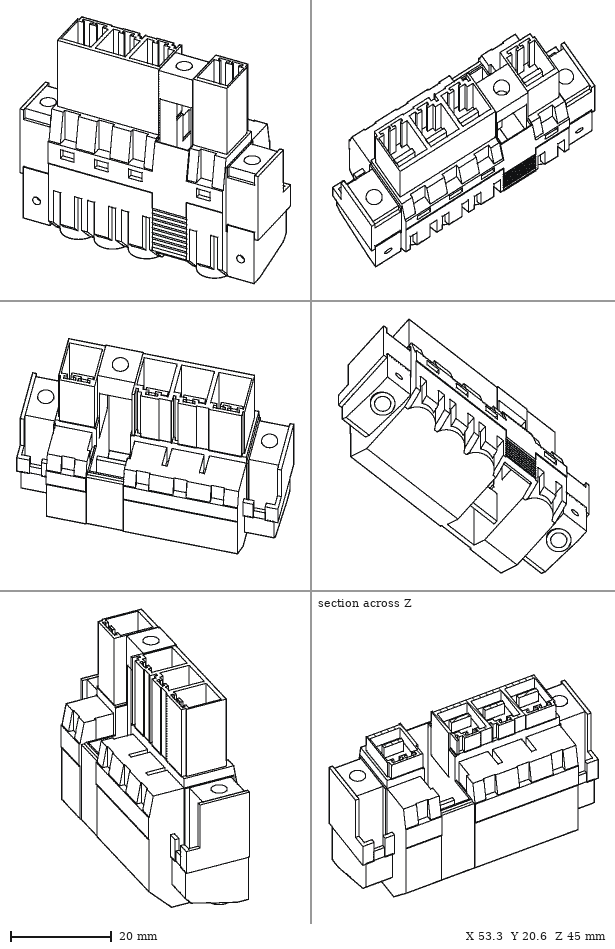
import cadquery as cq
import math


PITCH = 7.65
POLE_COUNT = 5
SCREW_POLE = 3
FIRST_POLE_X = -PITCH * (POLE_COUNT - 1) / 2
POLE_X = [FIRST_POLE_X + pole * PITCH for pole in range(POLE_COUNT)]
SCREW_X = POLE_X[SCREW_POLE]
CONTACT_X = [x for x in POLE_X if x != SCREW_X]
SCREW_BAY_WIDTH = PITCH
SCREW_Y = -3.8
SCREW_HOLE_RADIUS = 1.6
SHAFT_WIDTH = 6.95
SHAFT_FRONT = -8.95
SHAFT_BACK = 8.4

HOUSING_HALF_WIDTH = 19.5
BODY_FACE_Y = 10.15
BAND_FACE_Y = 10.3
BAND_BOTTOM = 17.3
BAND_TOP = 22.45
FRONT_TOP = 29.35
BACK_TOP = 27.15
STEP_Y = 2.35
FRONT_CHAMFER = 3.5
BACK_CHAMFER = 5.0
FRONT_SLOPE_FOOT_Y = -9.85
FRONT_SLOPE_TOP_Y = -8.7
BACK_SLOPE_FOOT_Y = 10.1
BACK_SLOPE_TOP_Y = 9.2
FRONT_RECESS_WIDTH = 3.45
FRONT_RECESS_FACE_Y = -7.95
BACK_RECESS_WIDTH = 2.65
BACK_RECESS_FACE_Y = 8.95
TEST_PORT_WIDTH = 3.05
TEST_PORT_BOTTOM = 19.3
TEST_PORT_HEIGHT = 2.1
TEST_PORT_DEPTH = 1.05
BACK_SLOT_WIDTH = 1.05
BACK_SLOT_END_Y = 6.55
BACK_SLOT_DEPTH = 5.35

FUNNEL_RADIUS = 3.7
FUNNEL_Y = -5.35
FUNNEL_HEIGHT = 11.05
FUNNEL_SLOT_INNER = 1.55
FUNNEL_SLOT_OUTER = 3.15

BAY_BOTTOM = 2.8
BAY_BACK_Y = 9.75
BAY_SLOPE_TOP_Y = 8.7
BAY_SLOPE_FOOT_Y = 9.1
BAY_SLOPE_DROP = 0.25
PANEL_TOP = 28.9
PANEL_TOP_Y = -9.1
GRIP_TOP = 13.7
GRIP_BOTTOM = 4.5
GRIP_TEETH = 8
GRIP_DEPTH = 0.25
CROSSBAR_FRONT = 1.35
CROSSBAR_BACK = 2.2
CROSSBAR_TOP = 17.05

HEADER_HALF_WIDTH = 19.0
HEADER_TOP = 45.0
HEADER_FRONT = -7.3
HEADER_BACK = 2.5
BRIDGE_FRONT = -7.6
BRIDGE_BACK = -0.25
BRIDGE_BOTTOM = 38.2
BRIDGE_TOP = 44.9
BRIDGE_LEG_FOOT = 21.35
CELL_WIDTH = 6.7
CELL_FRONT = -6.35
CELL_BACK = 0.85
CELL_FLOOR = 30.4

KEY_NECK_WIDTH = 1.35
KEY_HEAD_WIDTH = 2.4
KEY_HEAD_Y = 1.35
KEY_END_Y = 1.85
KEY_OFFSET = 1.45
CORNER_POCKET_WIDTH = 1.5
CORNER_POCKET_END_Y = 1.45
CORNER_FILL_WIDTH = 1.4
CORNER_FILL_FRONT = 0.1
BACK_RELIEF_LEFT = -4.2
BACK_RELIEF_RIGHT = -1.7
BACK_RELIEF_Y = 2.3
BACK_STEPS = [(2.05, 2.85, 1.65), (2.85, 3.3, 0.95)]
END_NOTCH_WIDTH = 0.4
END_NOTCH_Y = 1.5

BLADE_WIDTH = 4.45
BLADE_THICKNESS = 0.95
BLADE_Y = -3.15
BLADE_TOP = 38.4

SHELL_OUTER_X = 26.65
INSERT_OUTER_X = 25.85
INSERT_INNER_X = 19.85
FLANGE_HOLE_X = (INSERT_OUTER_X + INSERT_INNER_X) / 2
SHELL_FRONT = -8.65
SHELL_BACK = 5.4
SHELL_BOTTOM = 11.95
SHELL_TOP = BACK_TOP
SHELL_STEP_TOP = 17.05
SHELL_POCKET_BACK = 4.5
SHELL_LIP_TOP = 24.85
SHELL_NOTCH_WIDTH = 2.45
SHELL_NOTCH_FLOOR = 14.4
INSERT_TOP = 27.1
INSERT_UPPER_FRONT = -7.95
INSERT_UPPER_BACK = 1.35
INSERT_PLATE_FRONT = -8.85
INSERT_PLATE_TOP = GRIP_TOP
INSERT_PLATE_BOTTOM = 1.55
INSERT_BACK = 5.2
INSERT_SLOPE_Y = -6.3
INSERT_HEEL = (3.95, 4.15)
INSERT_HEEL_TOP = 5.55
BOSS_RADIUS = 2.45
PILOT_RADIUS = 0.85
PILOT_Z = 6.5
PILOT_DEPTH = 1.6


def block(x_range, y_range, z_range):
    """Box between pairs of limits along X, Y and Z."""
    size = [high - low for low, high in (x_range, y_range, z_range)]
    corner = (x_range[0], y_range[0], z_range[0])
    return cq.Workplane("XY").box(*size, centered=False).translate(corner)


def around(center, width):
    """Pair of limits of a span centred on a position."""
    return (center - width / 2, center + width / 2)


def side_profile(points, x_range):
    """Prism with a (Y, Z) outline, running between two X limits."""
    prism = cq.Workplane("YZ").polyline(points).close().extrude(x_range[1] - x_range[0])
    return prism.translate((x_range[0], 0, 0))


def upright_cylinder(x, y, radius, z_range):
    """Cylinder along Z between two heights."""
    cylinder = cq.Workplane("XY").circle(radius).extrude(z_range[1] - z_range[0])
    return cylinder.translate((x, y, z_range[0]))


BAY_X = around(SCREW_X, SCREW_BAY_WIDTH)
SHAFT_X = around(SCREW_X, SHAFT_WIDTH)
FULL_Y = (-BAND_FACE_Y, BAND_FACE_Y)


def housing_body():
    """Chamfered body with sloping shoulders and a raised band on the front and back."""
    full_x = (-HOUSING_HALF_WIDTH, HOUSING_HALF_WIDTH)
    outline = [
        (FRONT_CHAMFER - BODY_FACE_Y, 0),
        (-BODY_FACE_Y, FRONT_CHAMFER),
        (-BODY_FACE_Y, BAND_BOTTOM),
        (-BAND_FACE_Y, BAND_BOTTOM),
        (-BAND_FACE_Y, BAND_TOP),
        (FRONT_SLOPE_FOOT_Y, BAND_TOP),
        (FRONT_SLOPE_TOP_Y, FRONT_TOP),
        (STEP_Y, FRONT_TOP),
        (STEP_Y, BACK_TOP),
        (BACK_SLOPE_TOP_Y, BACK_TOP),
        (BACK_SLOPE_FOOT_Y, BAND_TOP),
        (BAND_FACE_Y, BAND_TOP),
        (BAND_FACE_Y, BAND_BOTTOM),
        (BODY_FACE_Y, BAND_BOTTOM),
        (BODY_FACE_Y, BACK_CHAMFER),
        (BODY_FACE_Y - BACK_CHAMFER, 0),
    ]
    return side_profile(outline, full_x)


def shoulder_recesses(x):
    """Upright recesses in the front and back shoulders of one pole."""
    above_band = (BAND_TOP, FRONT_TOP)
    front = block(around(x, FRONT_RECESS_WIDTH), (-BAND_FACE_Y, FRONT_RECESS_FACE_Y), above_band)
    back = block(around(x, BACK_RECESS_WIDTH), (BACK_RECESS_FACE_Y, BAND_FACE_Y), above_band)
    return front.union(back)


def test_port(x):
    """Shallow rectangular pocket in the front band of one pole."""
    return block(
        around(x, TEST_PORT_WIDTH),
        (-BAND_FACE_Y, TEST_PORT_DEPTH - BAND_FACE_Y),
        (TEST_PORT_BOTTOM, TEST_PORT_BOTTOM + TEST_PORT_HEIGHT),
    )


def funnel_slots(x):
    """Pair of upright slots that lay the funnel of one pole open at the front."""
    y_range = (-BAND_FACE_Y, FUNNEL_Y)
    slots = cq.Workplane("XY")
    for left in (x - FUNNEL_SLOT_OUTER, x + FUNNEL_SLOT_INNER):
        right = left + FUNNEL_SLOT_OUTER - FUNNEL_SLOT_INNER
        slots = slots.add(block((left, right), y_range, (0, FUNNEL_HEIGHT)))
    return slots.combine()


def grip_panel():
    """Front panel of the screw bay, with saw-tooth grip ridges."""
    lower_y = FRONT_CHAMFER - BODY_FACE_Y - BAY_BOTTOM
    tooth_pitch = (GRIP_TOP - GRIP_BOTTOM) / GRIP_TEETH
    outline = [
        (SHAFT_FRONT, BAY_BOTTOM),
        (lower_y, BAY_BOTTOM),
        (-BAND_FACE_Y, BAY_BOTTOM + BAND_FACE_Y + lower_y),
    ]
    for tooth in range(GRIP_TEETH):
        tooth_z = GRIP_BOTTOM + tooth * tooth_pitch
        outline.append((-BAND_FACE_Y, tooth_z))
        outline.append((GRIP_DEPTH - BAND_FACE_Y, tooth_z + tooth_pitch / 2))
    outline += [
        (-BAND_FACE_Y, GRIP_TOP),
        (-BAND_FACE_Y, BAND_TOP),
        (PANEL_TOP_Y, PANEL_TOP),
        (SHAFT_FRONT, PANEL_TOP),
    ]
    return side_profile(outline, BAY_X)


def screw_bay_cuts():
    """Open shaft, bottom notch, lowered tops and leg sockets at the screw position."""
    full_z = (0, FRONT_TOP)
    shaft = block(SHAFT_X, (SHAFT_FRONT, SHAFT_BACK), full_z)
    notch = block(SHAFT_X, FULL_Y, (0, BAY_BOTTOM))
    front_space = block(BAY_X, (-BAND_FACE_Y, SHAFT_FRONT), (BAY_BOTTOM, FRONT_TOP))
    back_space = block(BAY_X, (BAY_BACK_Y, BAND_FACE_Y), full_z)
    leg_sockets = block(BAY_X, (BRIDGE_FRONT, BRIDGE_BACK), (BRIDGE_LEG_FOOT, PANEL_TOP))
    top_space = block(BAY_X, (SHAFT_FRONT, STEP_Y), (PANEL_TOP, FRONT_TOP))
    back_top = [
        (STEP_Y, FRONT_TOP),
        (STEP_Y, BAND_TOP),
        (BAY_SLOPE_TOP_Y, BAND_TOP),
        (BAY_SLOPE_FOOT_Y, BAND_TOP - BAY_SLOPE_DROP),
        (BAND_FACE_Y, BAND_TOP - BAY_SLOPE_DROP),
        (BAND_FACE_Y, FRONT_TOP),
    ]
    cuts = shaft.union(notch).union(front_space).union(back_space).union(leg_sockets)
    return cuts.union(top_space).union(side_profile(back_top, BAY_X))


def back_slots():
    """Slots in the rear top face, one at each boundary between poles."""
    slots = cq.Workplane("XY")
    y_range = (STEP_Y, BACK_SLOT_END_Y)
    z_range = (BACK_TOP - BACK_SLOT_DEPTH, BACK_TOP)
    for boundary in range(POLE_COUNT - 1):
        x = FIRST_POLE_X + (boundary + 0.5) * PITCH
        slots = slots.add(block(around(x, BACK_SLOT_WIDTH), y_range, z_range))
    return slots.combine().cut(block(BAY_X, FULL_Y, (0, FRONT_TOP)))


def make_housing():
    housing = housing_body().cut(screw_bay_cuts()).cut(back_slots())
    housing = housing.union(grip_panel())
    crossbar_y = (CROSSBAR_FRONT, CROSSBAR_BACK)
    housing = housing.union(block(SHAFT_X, crossbar_y, (BAY_BOTTOM, CROSSBAR_TOP)))
    for x in CONTACT_X:
        housing = housing.cut(shoulder_recesses(x)).cut(test_port(x)).cut(funnel_slots(x))
        housing = housing.union(upright_cylinder(x, FUNNEL_Y, FUNNEL_RADIUS, (0, FUNNEL_HEIGHT)))
    return housing


CELL_Z = (CELL_FLOOR, HEADER_TOP)
HEADER_Z = (FRONT_TOP, HEADER_TOP)


def key_slot(x):
    """T-shaped coding slot in the back wall of a cell."""
    neck = block(around(x, KEY_NECK_WIDTH), (CELL_BACK, KEY_END_Y), CELL_Z)
    return neck.union(block(around(x, KEY_HEAD_WIDTH), (KEY_HEAD_Y, KEY_END_Y), CELL_Z))


def cell_space(x):
    """Plain rectangular space of one cell."""
    return block(around(x, CELL_WIDTH), (CELL_FRONT, CELL_BACK), CELL_Z)


def end_cell(x):
    """Cell at an end of the row, coded by two T-slots."""
    return cell_space(x).union(key_slot(x - KEY_OFFSET)).union(key_slot(x + KEY_OFFSET))


def inner_cell(x):
    """Inner cell, coded by one T-slot, a left corner pocket and a filled right corner."""
    left = x - CELL_WIDTH / 2
    right = x + CELL_WIDTH / 2
    pocket = block((left, left + CORNER_POCKET_WIDTH), (CELL_BACK, CORNER_POCKET_END_Y), CELL_Z)
    filled = block((right - CORNER_FILL_WIDTH, right), (CORNER_FILL_FRONT, CELL_BACK), CELL_Z)
    return cell_space(x).union(key_slot(x)).union(pocket).cut(filled)


def inner_back_relief(x):
    """Shallow relief and stepped groove in the outer back face behind an inner cell."""
    relief_x = (x + BACK_RELIEF_LEFT, x + BACK_RELIEF_RIGHT)
    relief = block(relief_x, (BACK_RELIEF_Y, HEADER_BACK), HEADER_Z)
    for left, right, front_y in BACK_STEPS:
        relief = relief.union(block((x + left, x + right), (front_y, HEADER_BACK), HEADER_Z))
    return relief


def header_bridge():
    """Screw block between the two header sections, with two thin legs that line the shaft."""
    bridge = block(BAY_X, (BRIDGE_FRONT, BRIDGE_BACK), (BRIDGE_LEG_FOOT, BRIDGE_TOP))
    window = block(SHAFT_X, (BRIDGE_FRONT, BRIDGE_BACK), (BRIDGE_LEG_FOOT, BRIDGE_BOTTOM))
    return bridge.cut(window).cut(upright_cylinder(SCREW_X, SCREW_Y, SCREW_HOLE_RADIUS, HEADER_Z))


def blade(x):
    """Flat contact blade of one pole."""
    return block(around(x, BLADE_WIDTH), around(BLADE_Y, BLADE_THICKNESS), (FRONT_TOP, BLADE_TOP))


def make_header():
    header_y = (HEADER_FRONT, HEADER_BACK)
    header = block((-HEADER_HALF_WIDTH, BAY_X[0]), header_y, HEADER_Z)
    header = header.union(block((BAY_X[1], HEADER_HALF_WIDTH), header_y, HEADER_Z))
    header = header.union(header_bridge())
    for x in (CONTACT_X[0], CONTACT_X[-1]):
        header = header.cut(end_cell(x))
    for x in CONTACT_X[1:-1]:
        header = header.cut(inner_cell(x)).cut(inner_back_relief(x))
    for x in CONTACT_X:
        header = header.cut(blade(x))
    for end in (-HEADER_HALF_WIDTH, HEADER_HALF_WIDTH - END_NOTCH_WIDTH):
        header = header.cut(block((end, end + END_NOTCH_WIDTH), (END_NOTCH_Y, HEADER_BACK), HEADER_Z))
    return header


def make_insert():
    """Right-hand flange insert: screw block with a sloping foot and a front plate."""
    fillet_radius = STEP_Y - INSERT_UPPER_BACK
    fillet_middle = fillet_radius * (1 - math.sqrt(0.5))
    fillet_point = (INSERT_UPPER_BACK + fillet_middle, SHELL_BOTTOM + fillet_middle)
    outline = (
        cq.Workplane("YZ")
        .moveTo(INSERT_PLATE_FRONT, INSERT_PLATE_BOTTOM)
        .lineTo(INSERT_PLATE_FRONT, INSERT_PLATE_TOP)
        .lineTo(INSERT_UPPER_FRONT, INSERT_PLATE_TOP)
        .lineTo(INSERT_UPPER_FRONT, INSERT_TOP)
        .lineTo(INSERT_UPPER_BACK, INSERT_TOP)
        .lineTo(INSERT_UPPER_BACK, SHELL_BOTTOM + fillet_radius)
        .threePointArc(fillet_point, (STEP_Y, SHELL_BOTTOM))
        .lineTo(INSERT_BACK, SHELL_BOTTOM)
        .lineTo(INSERT_BACK, INSERT_HEEL_TOP)
        .lineTo(*INSERT_HEEL)
        .lineTo(INSERT_SLOPE_Y, INSERT_PLATE_BOTTOM)
        .close()
    )
    insert = outline.extrude(INSERT_OUTER_X - INSERT_INNER_X).translate((INSERT_INNER_X, 0, 0))
    boss_z = (INSERT_PLATE_BOTTOM, SHELL_BOTTOM)
    insert = insert.union(upright_cylinder(FLANGE_HOLE_X, SCREW_Y, BOSS_RADIUS, boss_z))
    insert = insert.cut(upright_cylinder(FLANGE_HOLE_X, SCREW_Y, SCREW_HOLE_RADIUS, (0, INSERT_TOP)))
    pilot = cq.Workplane("XZ").circle(PILOT_RADIUS).extrude(-PILOT_DEPTH)
    return insert.cut(pilot.translate((FLANGE_HOLE_X, INSERT_PLATE_FRONT, PILOT_Z)))


def make_shell(insert):
    """Right-hand flange shell: stepped cover that holds the insert."""
    shell_x = (HOUSING_HALF_WIDTH, SHELL_OUTER_X)
    insert_x = (INSERT_INNER_X, INSERT_OUTER_X)
    front_y = (SHELL_FRONT, STEP_Y)
    shell = block(shell_x, front_y, (SHELL_BOTTOM, SHELL_TOP))
    shell = shell.union(block(shell_x, (STEP_Y, SHELL_BACK), (SHELL_BOTTOM, SHELL_STEP_TOP)))
    pocket = block(insert_x, (INSERT_UPPER_FRONT, SHELL_POCKET_BACK), (SHELL_BOTTOM, SHELL_TOP))
    above_lip = block(insert_x, front_y, (SHELL_LIP_TOP, SHELL_TOP))
    open_side = block(
        (HOUSING_HALF_WIDTH, INSERT_OUTER_X), (STEP_Y, SHELL_POCKET_BACK), (SHELL_BOTTOM, SHELL_STEP_TOP)
    )
    notch_x = around(FLANGE_HOLE_X, SHELL_NOTCH_WIDTH)
    notch = block(notch_x, (SHELL_POCKET_BACK, SHELL_BACK), (SHELL_NOTCH_FLOOR, SHELL_STEP_TOP))
    back_recess = block(notch_x, (INSERT_BACK, SHELL_BACK), (SHELL_BOTTOM, SHELL_NOTCH_FLOOR))
    return shell.cut(pocket).cut(above_lip).cut(open_side).cut(notch).cut(back_recess).cut(insert)


housing = make_housing()
header = make_header()
blades = [blade(x) for x in CONTACT_X]
right_insert = make_insert()
right_shell = make_shell(right_insert)
inserts = [right_insert, right_insert.mirror("YZ")]
shells = [right_shell, right_shell.mirror("YZ")]

bodies = [housing, header, *blades, *inserts, *shells]
result = cq.Compound.makeCompound([body.solids().val() for body in bodies])